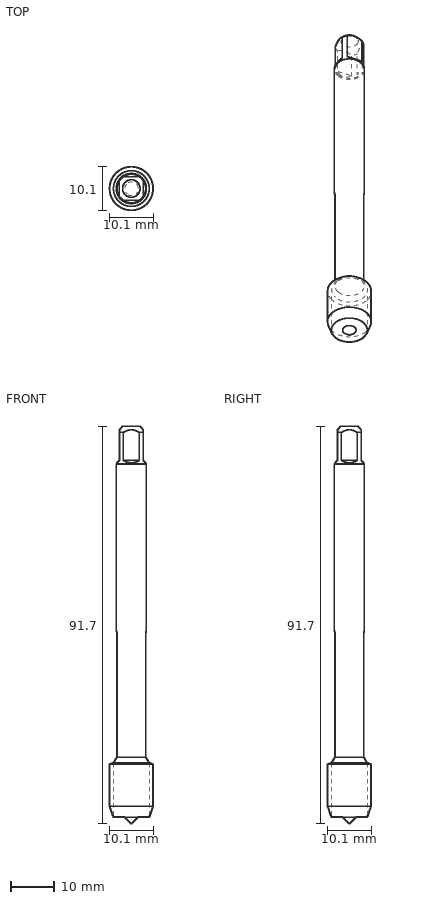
import cadquery as cq

length = 91.65

shank_radius = 7.0 / 2
drive_corner_radius = 3.3
drive_half_width = 2.75
drive_tip_radius = 2.0
drive_tip_height = 1.5
drive_flat_end = 83.8
drive_shoulder_top = 83.0
drive_shoulder_height = 0.2

neck_radius = 6.7 / 2
neck_top = 44.0
neck_taper_height = 0.55
neck_bottom = 15.4

core_radius = 4.1
point_height = 1.6

sleeve_radius = 10.1 / 2
sleeve_top = 14.1
sleeve_top_bevel_height = 0.4
lead_top = 4.1
lead_bottom = 2.1
lead_end_radius = 4.4


def flat_cutter(angle):
    """Material beside one drive flat, with a 45 degree run-out ramp below it."""
    outer = 2 * shank_radius
    ramp = outer - drive_half_width
    return (
        cq.Workplane("XZ")
        .moveTo(drive_half_width, length)
        .lineTo(drive_half_width, drive_flat_end)
        .lineTo(outer, drive_flat_end - ramp)
        .lineTo(outer, length)
        .close()
        .extrude(shank_radius, both=True)
        .rotate((0, 0, 0), (0, 0, 1), angle)
    )


def make_tap_body():
    """Shank, neck, conical flare, core and centre point turned as one piece, then four drive flats."""
    body = (
        cq.Workplane("XZ")
        .moveTo(0, 0)
        .lineTo(point_height, point_height)
        .lineTo(core_radius, point_height)
        .lineTo(core_radius, sleeve_top)
        .lineTo(neck_radius, neck_bottom)
        .lineTo(neck_radius, neck_top)
        .lineTo(shank_radius, neck_top + neck_taper_height)
        .lineTo(shank_radius, drive_shoulder_top - drive_shoulder_height)
        .lineTo(drive_corner_radius, drive_shoulder_top)
        .lineTo(drive_corner_radius, length - drive_tip_height)
        .lineTo(drive_tip_radius, length)
        .lineTo(0, length)
        .close()
        .revolve(360, (0, 0, 0), (0, 1, 0))
    )
    for angle in range(0, 360, 90):
        body = body.cut(flat_cutter(angle))
    return body


def make_thread_sleeve():
    """Ring around the core, bevelled on top and tapered down to the core below."""
    return (
        cq.Workplane("XZ")
        .moveTo(core_radius, point_height)
        .lineTo(lead_end_radius, lead_bottom)
        .lineTo(sleeve_radius, lead_top)
        .lineTo(sleeve_radius, sleeve_top - sleeve_top_bevel_height)
        .lineTo(core_radius, sleeve_top)
        .close()
        .revolve(360, (0, 0, 0), (0, 1, 0))
    )


tap_body = make_tap_body()
thread_sleeve = make_thread_sleeve()

result = cq.Compound.makeCompound([tap_body.val(), thread_sleeve.val()])